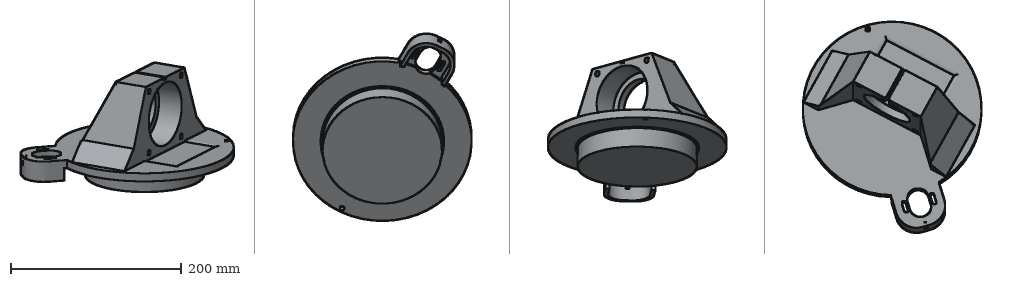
import cadquery as cq
import math

plate_diameter = 210.0
plate_thickness = 10.0
step_diameter = 145.0
step_height = 0.9
boss_diameter = 140.0
total_depth = 34.0
edge_hole_diameter = 5.3
edge_hole_radius = 100.2
edge_hole_angle = 45

tower_height = 90.0
tower_front_x = -12.9
tower_back_x = 28.2
tower_base_front_x = -43.0
face_half_width = tower_height / 2
base_half_width = 95.0
knee_half_width = 73.4
knee_height = base_half_width - knee_half_width
front_wall_thickness = 10.2
bore_diameter = 61.2
chamber_diameter = 77.0
bore_height = tower_height / 2
mount_hole_diameter = 6.2
mount_hole_pitch = 75.1
groove_diameter = 5.3
channel_depth = 2.7
channel_top_width = 2.9
channel_bottom_width = 4.5

recess_depth = 1.0
recess_half_width = face_half_width
recess_end_x = 69.5
rim_width = 4.7
rim_radius = (rim_width**2 + recess_depth**2) / (2 * recess_depth)

lug_center = (-85.3, -82.0)
lug_angle = 45
lug_width = 58.7
lug_corner_radius = 24.5
lug_depth = 25.0
lug_inner_radius = 108.0
lug_roof_thickness = 7.3
lug_wall = 4.7
lug_bore_width = 25.5
lug_bore_length = 34.8
lug_slot_width = 4.7
lug_slot_length = 14.0
lug_slot_offset = 17.3
screw_hole_diameter = 4.7
screw_hole_depth = 8.6
slit_length = 1.8
slit_width = 0.2


def cylinder(diameter, top, bottom):
    return cq.Workplane("XY").workplane(offset=bottom).circle(diameter / 2).extrude(top - bottom)


def make_base():
    step_bottom = -plate_thickness - step_height
    base = cylinder(plate_diameter, 0, -plate_thickness)
    base = base.union(cylinder(step_diameter, -plate_thickness, step_bottom))
    return base.union(cylinder(boss_diameter, step_bottom, -total_depth))


def cut_edge_hole(body):
    angle = math.radians(edge_hole_angle)
    x = edge_hole_radius * math.cos(angle)
    y = edge_hole_radius * math.sin(angle)
    return body.cut(cylinder(edge_hole_diameter, 0, -plate_thickness).translate((x, y, 0)))


def make_tower():
    flare_half_width = face_half_width + tower_front_x - tower_base_front_x
    plan = (
        cq.Workplane("XY")
        .moveTo(tower_back_x, 0)
        .lineTo(tower_front_x, 0)
        .lineTo(tower_front_x, face_half_width)
        .lineTo(tower_base_front_x, flare_half_width)
        .lineTo(tower_base_front_x, base_half_width)
        .lineTo(tower_back_x, base_half_width)
        .mirrorX()
        .extrude(tower_height)
    )
    side_outline = (
        cq.Workplane("YZ", origin=(tower_base_front_x, 0, 0))
        .moveTo(0, 0)
        .lineTo(base_half_width, 0)
        .lineTo(knee_half_width, knee_height)
        .lineTo(face_half_width, tower_height)
        .lineTo(0, tower_height)
        .mirrorY()
        .extrude(tower_back_x - tower_base_front_x)
    )
    return plan.intersect(side_outline)


def cut_tower_bores(tower):
    depth = tower_back_x - tower_front_x
    front = cq.Workplane("YZ", origin=(tower_front_x, 0, bore_height))
    bore = front.circle(bore_diameter / 2).extrude(depth)
    chamber = (
        front.workplane(offset=front_wall_thickness)
        .circle(chamber_diameter / 2)
        .extrude(depth - front_wall_thickness)
    )
    mount_holes = (
        front.rect(mount_hole_pitch, mount_hole_pitch, forConstruction=True)
        .vertices()
        .circle(mount_hole_diameter / 2)
        .extrude(depth)
    )
    return tower.cut(bore).cut(chamber).cut(mount_holes)


def cut_wire_path(tower):
    """Half-round groove down the front face to the bore, and a dovetail channel along the top."""
    groove = cylinder(groove_diameter, tower_height, bore_height).translate((tower_front_x, 0, 0))
    channel = (
        cq.Workplane("YZ", origin=(tower_front_x, 0, 0))
        .moveTo(0, tower_height)
        .lineTo(channel_top_width / 2, tower_height)
        .lineTo(channel_bottom_width / 2, tower_height - channel_depth)
        .lineTo(0, tower_height - channel_depth)
        .mirrorY()
        .extrude(tower_back_x - tower_front_x)
    )
    return tower.cut(groove).cut(channel)


def make_recess():
    """Overlap of two prisms whose rims are arcs tangent to the plate's top face."""
    outer_half_width = recess_half_width + rim_width
    outer_end_x = recess_end_x + rim_width
    mid_angle = math.asin(rim_width / rim_radius) / 2
    mid_run = rim_radius * math.sin(mid_angle)
    mid_drop = rim_radius * (1 - math.cos(mid_angle))
    across = (
        cq.Workplane("YZ", origin=(tower_back_x, 0, 0))
        .lineTo(outer_half_width, 0)
        .threePointArc((outer_half_width - mid_run, -mid_drop), (recess_half_width, -recess_depth))
        .lineTo(0, -recess_depth)
        .mirrorY()
        .extrude(outer_end_x - tower_back_x)
    )
    along = (
        cq.Workplane("XZ")
        .moveTo(tower_back_x, 0)
        .lineTo(outer_end_x, 0)
        .threePointArc((outer_end_x - mid_run, -mid_drop), (recess_end_x, -recess_depth))
        .lineTo(tower_back_x, -recess_depth)
        .close()
        .extrude(outer_half_width, both=True)
    )
    return across.intersect(along)


def place_on_lug(shape):
    """Move a shape built about the origin, with its outer end toward -X, to the lug."""
    return shape.rotate((0, 0, 0), (0, 0, 1), lug_angle).translate((*lug_center, 0))


def rounded_ear(inset, height):
    """Ear hanging down from Z = 0, rounded at its -X end and running inward about to the plate axis."""
    half_width = lug_width / 2 - inset
    length = half_width + math.hypot(*lug_center)
    return (
        cq.Workplane("XY")
        .rect(length, 2 * half_width)
        .extrude(-height)
        .translate((length / 2 - half_width, 0, 0))
        .edges("|Z and <X")
        .fillet(lug_corner_radius - inset)
    )


def make_lug():
    lug = place_on_lug(rounded_ear(0, lug_depth))
    lug = lug.cut(cylinder(2 * lug_inner_radius, -plate_thickness, -lug_depth))
    cavity = rounded_ear(lug_wall, lug_depth - lug_roof_thickness)
    cavity = place_on_lug(cavity.translate((0, 0, -lug_roof_thickness)))
    return lug.cut(cavity.cut(cylinder(plate_diameter, 0, -lug_depth)))


def cut_lug_holes(body):
    bore = cq.Workplane("XY").slot2D(lug_bore_length, lug_bore_width).extrude(-lug_depth)
    slots = (
        cq.Workplane("XY")
        .pushPoints([(0, lug_slot_offset), (0, -lug_slot_offset)])
        .slot2D(lug_slot_length, lug_slot_width)
        .extrude(-lug_depth)
    )
    screw_hole = (
        cq.Workplane("YZ", origin=(-lug_width / 2, 0, -screw_hole_depth))
        .circle(screw_hole_diameter / 2)
        .extrude(lug_width / 2)
    )
    slit = (
        cq.Workplane("XY")
        .center(lug_wall - lug_width / 2 + slit_width / 2, 0)
        .rect(slit_width, slit_length)
        .extrude(-lug_depth)
    )
    for cutter in (bore, slots, screw_hole, slit):
        body = body.cut(place_on_lug(cutter))
    return body


tower = cut_wire_path(cut_tower_bores(make_tower()))
body = cut_edge_hole(make_base()).union(make_lug())
body = cut_lug_holes(body)
result = body.cut(make_recess()).union(tower)